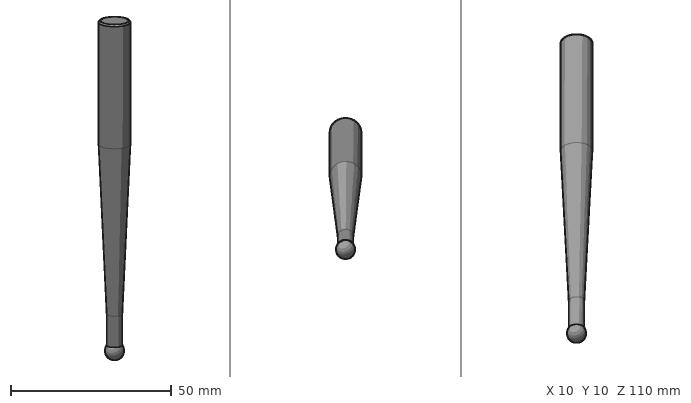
import cadquery as cq
import math

overall_length = 110.0
shank_diameter = 10.0
shank_bottom_z = 70.0
neck_diameter = 5.0
neck_top_z = 15.0
ball_diameter = 6.0
chamfer_size = 0.5

shank_radius = shank_diameter / 2
neck_radius = neck_diameter / 2
ball_radius = ball_diameter / 2

joint_z = ball_radius + math.sqrt(ball_radius**2 - neck_radius**2)


def make_holder():
    """Chamfered cylindrical shank, tapered middle and straight neck."""
    return (
        cq.Workplane("XZ")
        .moveTo(0, joint_z)
        .lineTo(neck_radius, joint_z)
        .lineTo(neck_radius, neck_top_z)
        .lineTo(shank_radius, shank_bottom_z)
        .lineTo(shank_radius, overall_length - chamfer_size)
        .lineTo(shank_radius - chamfer_size, overall_length)
        .lineTo(0, overall_length)
        .close()
        .revolve(360, (0, 0, 0), (0, 1, 0))
    )


def make_ball_tip():
    """Ball cut flat where it meets the end of the neck."""
    return (
        cq.Workplane("XZ")
        .moveTo(0, 0)
        .threePointArc((ball_radius, ball_radius), (neck_radius, joint_z))
        .lineTo(0, joint_z)
        .close()
        .revolve(360, (0, 0, 0), (0, 1, 0))
    )


holder = make_holder()
ball_tip = make_ball_tip()

result = cq.Compound.makeCompound([holder.val(), ball_tip.val()])